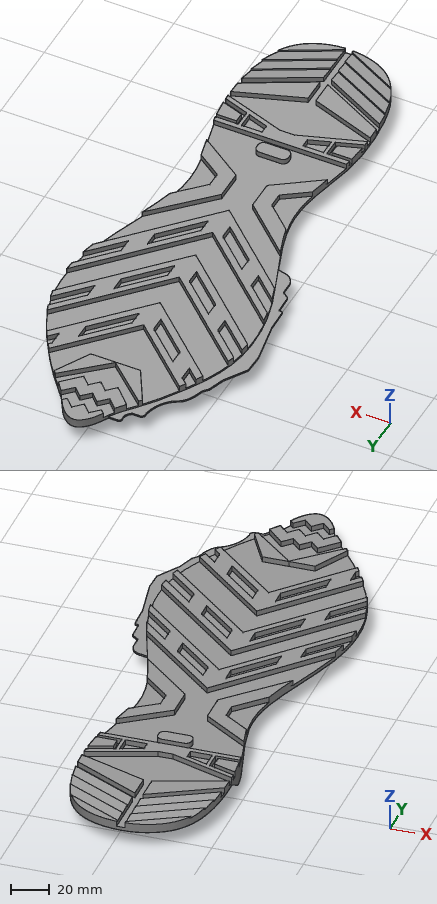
import cadquery as cq
import math


LENGTH = 320.0
OVERALL_HEIGHT = 12.5
BASE_THICKNESS = 2.0
TREAD_HEIGHT = 3.0
FLASH_THICKNESS = 1.0
TOP_Z = BASE_THICKNESS + TREAD_HEIGHT
LUG_DEPTH = OVERALL_HEIGHT - TOP_Z
REACH = 80.0

HALF_OUTLINE = [
    (18.2, 3.8), (27.0, 9.5), (33.3, 18.2), (38.0, 32.5), (40.3, 56.0), (40.0, 67.5),
    (37.5, 84.8), (33.3, 102.0), (30.7, 122.5), (33.0, 139.8), (38.5, 157.0), (44.8, 174.5),
    (51.5, 194.5), (55.0, 218.0), (53.5, 238.0), (47.7, 255.3), (38.0, 272.5), (26.0, 290.2),
    (14.5, 304.5), (7.0, 316.0),
]

SIDES = (-1, 1)
CHEVRON_SLOPE = {-1: 0.91, 1: 1.07}
WING_SLOPE = {-1: 0.91, 1: 1.0}

CHEVRON_TIPS = (238.5, 197.0, 158.5)
CHEVRON_DEPTH = 19.2
WINDOW_MARGIN = 5.0
WINDOW_DEPTH = 8.3
INNER_WINDOW = (6.0, 26.2)
OUTER_WINDOW = (36.0, REACH)

ZIGZAG_PITCH = 10.0
ZIGZAG_PEAKS = (312.0, 302.5, 292.7)
TOE_PAD_BOTTOM = 270.7
TOE_PAD_HALF_WIDTH = 14.5
TOE_PAD_SIDE_SLOPE = 1.8
TOE_VEE_TIP = 271.0
TOE_VEE_SLOPE = 0.89

WING_OUTER = (9.0, 113.3, 130.0)
WING_INNER = (18.0, 117.0, 125.7)
WING_LOWER_SLOPE = 0.69

PILL_LENGTH = 18.5
PILL_WIDTH = 8.0
PILL_CORNER = 3.2
PILL_Y = 88.0

BAND_TOP = 80.3
BAND_RIM = 3.0
ARROW_TOP = 72.0
ARROW_HALF_FLAT = 4.0
ARROW_SLOPE = 0.34
POCKET_SPAN = (11.8, 23.7)
RECESS_INNER = 25.5
RECESS_GROOVE = 2.0

SPLIT_HALF_WIDTH = 2.2
HEEL_TOP = 43.2
HEEL_TOP_SLOPE = 0.35
HEEL_STRIPE_SLOPE = 0.52
HEEL_GROOVE = (29.5, 25.3)
STRIPE_COUNT = 3
STRIPE_PITCH = 8.0
STRIPE_DROP = 1.0

LUG_INNER_X = 30.0
LUG_FRONT = 115.5
LUG_KNEE = 102.5
LUG_FOOT_FRONT = 80.5
LUG_FOOT_REAR = 73.0
LUG_REAR = 60.5
LUG_KNEE_DEPTH = 1.3
LUG_FOOT_RADIUS = 9.5


def prism(points):
    """Straight-sided tread block standing on the base plate."""
    return cq.Workplane("XY", origin=(0, 0, BASE_THICKNESS)).polyline(points).close().extrude(TREAD_HEIGHT)


def sole_blank(height):
    """Full sole outline extruded from Z = 0; a negative height goes downwards."""
    right = [(0, 0)] + HALF_OUTLINE
    left = [(0, LENGTH)] + [(-x, y) for x, y in reversed(HALF_OUTLINE)]
    return cq.Workplane("XY").spline(right + left, periodic=True).close().extrude(height)


def chevron_strip(tip, depth, side, span):
    """Slanted strip on one side of the centre line; tip is its upper edge at X = 0."""
    rise = CHEVRON_SLOPE[side]
    near, far = span
    return prism([
        (side * near, tip + rise * near),
        (side * far, tip + rise * far),
        (side * far, tip + rise * far - depth),
        (side * near, tip + rise * near - depth),
    ])


def chevrons():
    blocks = cq.Workplane("XY")
    windows = cq.Workplane("XY")
    for tip in CHEVRON_TIPS:
        for side in SIDES:
            blocks = blocks.add(chevron_strip(tip, CHEVRON_DEPTH, side, (0, REACH)))
            for span in (INNER_WINDOW, OUTER_WINDOW):
                windows = windows.add(chevron_strip(tip - WINDOW_MARGIN, WINDOW_DEPTH, side, span))
    return blocks.combine().cut(windows.combine())


def zigzag(peak):
    """Points of a 45 degree zigzag from left to right, rising outwards at both ends."""
    low = peak - ZIGZAG_PITCH / 2
    return [
        (-REACH, low + REACH - ZIGZAG_PITCH),
        (-ZIGZAG_PITCH, low),
        (-ZIGZAG_PITCH / 2, peak),
        (0, low),
        (ZIGZAG_PITCH / 2, peak),
        (ZIGZAG_PITCH, low),
        (REACH, low + REACH - ZIGZAG_PITCH),
    ]


def toe_blocks():
    first, second, third = (zigzag(peak) for peak in ZIGZAG_PEAKS)
    tip = prism(first)
    strip = prism(second + third[::-1])
    pad_rise = TOE_PAD_SIDE_SLOPE * (REACH - TOE_PAD_HALF_WIDTH)
    pad = prism([
        (-TOE_PAD_HALF_WIDTH, TOE_PAD_BOTTOM),
        (TOE_PAD_HALF_WIDTH, TOE_PAD_BOTTOM),
        (REACH, TOE_PAD_BOTTOM + pad_rise),
        (-REACH, TOE_PAD_BOTTOM + pad_rise),
    ])
    vee_rise = TOE_VEE_SLOPE * REACH
    vee = prism([
        (0, TOE_VEE_TIP),
        (REACH, TOE_VEE_TIP + vee_rise),
        (REACH, LENGTH + REACH),
        (-REACH, LENGTH + REACH),
        (-REACH, TOE_VEE_TIP + vee_rise),
    ])
    return pad.cut(vee).union(strip).union(tip)


def wing_outline(side, corner):
    """Area outside a waist corner that opens towards the edge of the sole."""
    inner, lower, upper = corner
    run = REACH - inner
    return prism([
        (side * inner, lower),
        (side * inner, upper),
        (side * REACH, upper + WING_SLOPE[side] * run),
        (side * REACH, lower - WING_LOWER_SLOPE * run),
    ])


def wing(side):
    return wing_outline(side, WING_OUTER).cut(wing_outline(side, WING_INNER))


def pill():
    return (
        cq.Workplane("XY", origin=(0, PILL_Y, BASE_THICKNESS))
        .rect(PILL_LENGTH, PILL_WIDTH)
        .extrude(TREAD_HEIGHT)
        .edges("|Z")
        .fillet(PILL_CORNER)
    )


def arrow_y(x):
    """Y position of the slanted lower edge of the cross band at distance x from the centre."""
    return ARROW_TOP - ARROW_SLOPE * (x - ARROW_HALF_FLAT)


def band_cell(side, span, rim):
    """Cell inside the cross band, inset by rim from its upper and lower edges."""
    top_rim, bottom_rim = rim
    near, far = span
    return prism([
        (side * near, BAND_TOP - top_rim),
        (side * far, BAND_TOP - top_rim),
        (side * far, arrow_y(far) + bottom_rim),
        (side * near, arrow_y(near) + bottom_rim),
    ])


def cross_band():
    band = prism([
        (-REACH, BAND_TOP),
        (REACH, BAND_TOP),
        (REACH, arrow_y(REACH)),
        (ARROW_HALF_FLAT, ARROW_TOP),
        (-ARROW_HALF_FLAT, ARROW_TOP),
        (-REACH, arrow_y(REACH)),
    ])
    recess_rim = (BAND_RIM, BAND_RIM)
    pad_rim = (BAND_RIM + RECESS_GROOVE, 2 * BAND_RIM)
    for side in SIDES:
        band = band.cut(band_cell(side, POCKET_SPAN, recess_rim))
        band = band.cut(band_cell(side, (RECESS_INNER, REACH), recess_rim))
        band = band.union(band_cell(side, (RECESS_INNER + RECESS_GROOVE, REACH), pad_rim))
    return band


def heel_block(side, top, bottom, top_slope, bottom_slope):
    """Block beside the heel split with slanted edges, given at the split."""
    run = REACH - SPLIT_HALF_WIDTH
    return prism([
        (side * SPLIT_HALF_WIDTH, top),
        (side * REACH, top + top_slope * run),
        (side * REACH, bottom + bottom_slope * run),
        (side * SPLIT_HALF_WIDTH, bottom),
    ])


def stripe_cut(side, top):
    """Wedge that tilts one heel stripe down across its width."""
    run = REACH - SPLIT_HALF_WIDTH
    slant = math.hypot(1, HEEL_STRIPE_SLOPE)
    width = STRIPE_PITCH / slant
    profile_plane = cq.Plane(
        origin=(side * SPLIT_HALF_WIDTH, top, TOP_Z),
        xDir=(side * HEEL_STRIPE_SLOPE, -1, 0),
        normal=(side, HEEL_STRIPE_SLOPE, 0),
    )
    profile = [(0, 0), (width, 0), (width, side * STRIPE_DROP)]
    wedge = cq.Workplane(profile_plane).polyline(profile).close().extrude(2 * run, both=True)
    return wedge.intersect(heel_block(side, LENGTH, -LENGTH, 0, 0))


def heel_blocks(side):
    groove_top, groove_bottom = HEEL_GROOVE
    front = heel_block(side, HEEL_TOP, groove_top, HEEL_TOP_SLOPE, HEEL_STRIPE_SLOPE)
    rear = heel_block(side, groove_bottom, -REACH, HEEL_STRIPE_SLOPE, 0)
    for index in range(STRIPE_COUNT):
        rear = rear.cut(stripe_cut(side, groove_bottom - index * STRIPE_PITCH))
    return front.union(rear)


def flash():
    """Thin ragged strip left of the forefoot; its closing line runs inside the sole."""
    return (
        cq.Workplane("XY")
        .moveTo(-12.8, 306.2)
        .lineTo(-19.0, 306.2)
        .threePointArc((-20.0, 305.5), (-20.5, 304.0))
        .threePointArc((-21.0, 300.5), (-23.5, 298.2))
        .lineTo(-27.8, 298.2)
        .threePointArc((-29.5, 297.2), (-29.8, 295.0))
        .spline([(-30.7, 290.8), (-33.3, 285.5), (-39.7, 279.3)], includeCurrent=True)
        .spline([(-42.5, 277.5), (-45.8, 272.5), (-48.0, 266.5)], includeCurrent=True)
        .lineTo(-50.5, 263.5)
        .lineTo(-53.7, 254.5)
        .lineTo(-62.0, 241.2)
        .lineTo(-62.5, 230.5)
        .lineTo(-58.2, 206.7)
        .lineTo(-58.0, 193.5)
        .lineTo(-55.7, 193.0)
        .lineTo(-55.5, 182.5)
        .lineTo(-51.5, 179.5)
        .lineTo(-51.5, 173.0)
        .threePointArc((-50.0, 168.5), (-46.7, 166.5))
        .lineTo(-41.3, 165.0)
        .close()
        .extrude(FLASH_THICKNESS)
    )


def arch_lug():
    """Lug below the right edge: a rounded side profile, flush with the outer wall of the sole."""
    profile = [
        (LUG_FRONT, 0),
        (LUG_KNEE, -LUG_KNEE_DEPTH),
        (LUG_FOOT_FRONT, -LUG_DEPTH),
        (LUG_FOOT_REAR, -LUG_DEPTH),
        (LUG_REAR, 0),
    ]
    bar = (
        cq.Workplane("YZ", origin=(LUG_INNER_X, 0, 0))
        .polyline(profile)
        .close()
        .extrude(REACH)
        .edges("|X and <Z")
        .fillet(LUG_FOOT_RADIUS)
    )
    return bar.intersect(sole_blank(-LUG_DEPTH))


tread = chevrons().union(toe_blocks()).union(pill()).union(cross_band())
for side in SIDES:
    tread = tread.union(wing(side)).union(heel_blocks(side))

tread_layer = cq.Workplane("XY").box(2 * REACH, 3 * LENGTH, TREAD_HEIGHT, centered=(True, True, False))
gaps = tread_layer.translate((0, 0, BASE_THICKNESS)).cut(tread)

result = sole_blank(TOP_Z).cut(gaps).union(flash()).union(arch_lug())